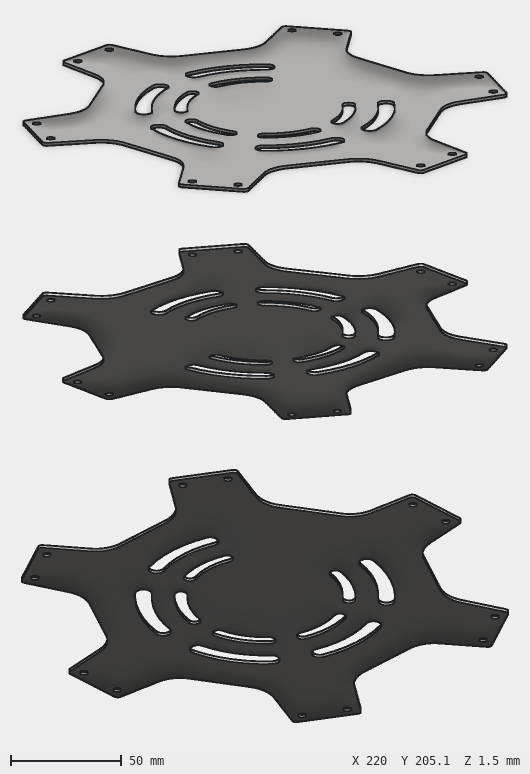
import cadquery as cq
import math

TIP_REACH = 110.0
THICKNESS = 1.5
ARM_COUNT = 6
ARM_PITCH = 360.0 / ARM_COUNT
HUB_APOTHEM = 78.0

TIP_HALF_WIDTH = 15.8
ARM_FLARE = 7.0
TIP_CORNER_RADIUS = 2.0
ROOT_RADIUS = 15.8

HOLE_DIAMETER = 3.5
HOLE_REACH = 105.0
HOLE_HALF_SPACING = 10.5

SLOT_RINGS = [(38.0, 5.7), (55.0, 7.5)]
SLOT_HALF_SWEEP = 18.2
SLOT_ANGLES = [-90, -30, 30, 150, 210]


def polar(radius, angle):
    """Point at a radius and an angle in degrees from +X."""
    turn = math.radians(angle)
    return (radius * math.cos(turn), radius * math.sin(turn))


def rotated(x, y, angle):
    """Point turned about the centre by an angle in degrees."""
    return polar(math.hypot(x, y), math.degrees(math.atan2(y, x)) + angle)


def arm_root():
    """Upper corner where the side of the +X arm meets the hub edge."""
    flare = math.tan(math.radians(ARM_FLARE))
    edge_x, edge_y = polar(1.0, ARM_PITCH / 2)
    side_at_centre = TIP_HALF_WIDTH + TIP_REACH * flare
    x = (HUB_APOTHEM - edge_y * side_at_centre) / (edge_x - edge_y * flare)
    return x, side_at_centre - x * flare


def plate():
    """Six-armed plate with rounded arm tips and filleted arm roots."""
    root_x, root_y = arm_root()
    arm = [
        (root_x, -root_y),
        (TIP_REACH, -TIP_HALF_WIDTH),
        (TIP_REACH, TIP_HALF_WIDTH),
        (root_x, root_y),
    ]
    outline = [rotated(x, y, i * ARM_PITCH) for i in range(ARM_COUNT) for x, y in arm]
    blank = cq.Workplane("XY").polyline(outline).close().extrude(THICKNESS)

    between_root_and_tip = (math.hypot(root_x, root_y) + TIP_REACH) / 2
    corners = blank.edges("|Z").vals()
    tips = [e for e in corners if math.hypot(*e.Center().toTuple()[:2]) > between_root_and_tip]
    roots = [e for e in corners if math.hypot(*e.Center().toTuple()[:2]) < between_root_and_tip]
    blank = blank.newObject(roots).fillet(ROOT_RADIUS)
    return blank.newObject(tips).fillet(TIP_CORNER_RADIUS)


def mounting_holes():
    """Cutters for the pair of holes at each arm tip."""
    centres = [
        rotated(HOLE_REACH, side * HOLE_HALF_SPACING, i * ARM_PITCH)
        for i in range(ARM_COUNT)
        for side in (-1, 1)
    ]
    return cq.Workplane("XY").pushPoints(centres).circle(HOLE_DIAMETER / 2).extrude(THICKNESS)


def curved_slot(radius, width, angle):
    """Cutter for one round-ended slot that follows a circle about the centre."""
    inner = radius - width / 2
    outer = radius + width / 2
    start = angle - SLOT_HALF_SWEEP
    end = angle + SLOT_HALF_SWEEP
    cap = math.degrees(2 * math.asin(width / (4 * radius)))
    return (
        cq.Workplane("XY")
        .moveTo(*polar(outer, start))
        .threePointArc(polar(outer, angle), polar(outer, end))
        .threePointArc(polar(radius, end + cap), polar(inner, end))
        .threePointArc(polar(inner, angle), polar(inner, start))
        .threePointArc(polar(radius, start - cap), polar(outer, start))
        .close()
        .extrude(THICKNESS)
    )


result = plate().cut(mounting_holes())
for slot_radius, slot_width in SLOT_RINGS:
    for slot_angle in SLOT_ANGLES:
        result = result.cut(curved_slot(slot_radius, slot_width, slot_angle))